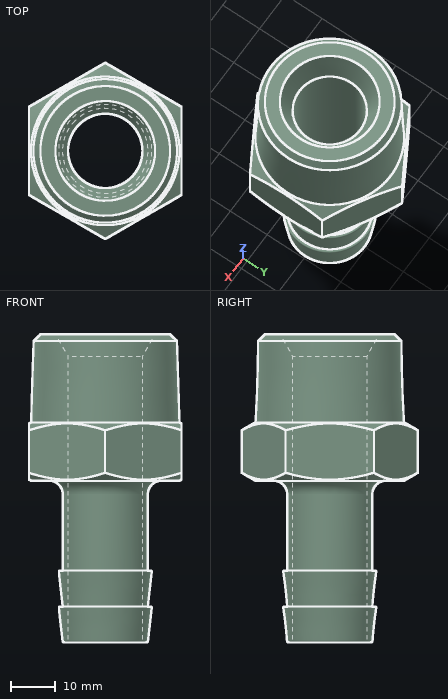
import math

import cadquery as cq

TOTAL_HEIGHT = 68.6
HEX_BOTTOM = 36.0
HEX_HEIGHT = 13.0
HEX_TOP = HEX_BOTTOM + HEX_HEIGHT

PIPE_BASE_DIAMETER = 33.1
PIPE_TAPER = 1 / 16
PIPE_CHAMFER = 1.5

HEX_ACROSS_FLATS = 34.0
HEX_SIDES = 6
HEX_HALF_SECTOR = 180 / HEX_SIDES
HEX_ACROSS_CORNERS = HEX_ACROSS_FLATS / math.cos(math.radians(HEX_HALF_SECTOR))
HEX_CHAMFER_START_DIAMETER = PIPE_BASE_DIAMETER
HEX_CHAMFER_ANGLE = 30.0

TAIL_DIAMETER = 19.0
TAIL_FILLET = 3.0
BARB_DIAMETER = 20.8
BARB_PITCH = 8.0
BARB_COUNT = 2
BARB_TIP_ROUND = 0.3
TAIL_END_ROUND = 0.5

BORE_DIAMETER = 16.5
COUNTERSINK_DIAMETER = 22.2
COUNTERSINK_ANGLE = 60.0


def make_cone(bottom_z, height, bottom_diameter, top_diameter):
    """Cone frustum on the Z axis."""
    profile = (
        cq.Workplane("XZ")
        .moveTo(0, bottom_z)
        .lineTo(bottom_diameter / 2, bottom_z)
        .lineTo(top_diameter / 2, bottom_z + height)
        .lineTo(0, bottom_z + height)
        .close()
    )
    return profile.revolve(360, (0, 0, 0), (0, 1, 0))


def make_cylinder(bottom_z, height, diameter):
    """Cylinder on the Z axis."""
    return cq.Workplane("XY").workplane(offset=bottom_z).circle(diameter / 2).extrude(height)


def make_hexagon():
    """Hexagon with both ends trimmed by a cone, as on a nut."""
    hexagon = (
        cq.Workplane("XY")
        .workplane(offset=HEX_BOTTOM)
        .polygon(HEX_SIDES, HEX_ACROSS_CORNERS)
        .extrude(HEX_HEIGHT)
        .rotate((0, 0, 0), (0, 0, 1), HEX_HALF_SECTOR)
    )
    start_radius = HEX_CHAMFER_START_DIAMETER / 2
    half_height = HEX_HEIGHT / 2
    middle_radius = start_radius + half_height / math.tan(math.radians(HEX_CHAMFER_ANGLE))
    middle_z = HEX_BOTTOM + half_height
    lower_cone = make_cone(HEX_BOTTOM, half_height, 2 * start_radius, 2 * middle_radius)
    upper_cone = make_cone(middle_z, half_height, 2 * middle_radius, 2 * start_radius)
    return hexagon.intersect(lower_cone.union(upper_cone))


def make_pipe_end():
    """Tapered pipe end above the hexagon, chamfered at its mouth."""
    height = TOTAL_HEIGHT - HEX_TOP
    top_diameter = PIPE_BASE_DIAMETER - PIPE_TAPER * height
    return make_cone(HEX_TOP, height, PIPE_BASE_DIAMETER, top_diameter).faces(">Z").chamfer(PIPE_CHAMFER)


def make_barb(index):
    """One barb, widening upwards to a slightly rounded tip."""
    barb = make_cone(index * BARB_PITCH, BARB_PITCH, TAIL_DIAMETER, BARB_DIAMETER)
    barb = barb.faces(">Z").edges().fillet(BARB_TIP_ROUND)
    if index == 0:
        barb = barb.faces("<Z").edges().fillet(TAIL_END_ROUND)
    return barb


def make_tail_fillet():
    """Concave ring blending the tail into the underside of the hexagon."""
    tail_radius = TAIL_DIAMETER / 2
    arc_middle_offset = TAIL_FILLET * (1 - math.sqrt(0.5))
    profile = (
        cq.Workplane("XZ")
        .moveTo(0, HEX_BOTTOM - TAIL_FILLET)
        .lineTo(tail_radius, HEX_BOTTOM - TAIL_FILLET)
        .threePointArc(
            (tail_radius + arc_middle_offset, HEX_BOTTOM - arc_middle_offset),
            (tail_radius + TAIL_FILLET, HEX_BOTTOM),
        )
        .lineTo(0, HEX_BOTTOM)
        .close()
    )
    return profile.revolve(360, (0, 0, 0), (0, 1, 0))


def make_tail():
    """Hose tail: plain shank, barbs and the blend into the hexagon."""
    shank_bottom = BARB_COUNT * BARB_PITCH
    shank_height = HEX_BOTTOM - TAIL_FILLET - shank_bottom
    tail = make_cylinder(shank_bottom, shank_height, TAIL_DIAMETER).union(make_tail_fillet())
    for index in range(BARB_COUNT):
        tail = tail.union(make_barb(index))
    return tail


def make_bore():
    """Through bore with a conical mouth at the pipe end."""
    half_angle = math.radians(COUNTERSINK_ANGLE / 2)
    depth = (COUNTERSINK_DIAMETER - BORE_DIAMETER) / 2 / math.tan(half_angle)
    mouth = make_cone(TOTAL_HEIGHT - depth, depth, BORE_DIAMETER, COUNTERSINK_DIAMETER)
    return make_cylinder(0, TOTAL_HEIGHT, BORE_DIAMETER).union(mouth)


result = make_hexagon().union(make_pipe_end()).union(make_tail()).cut(make_bore())